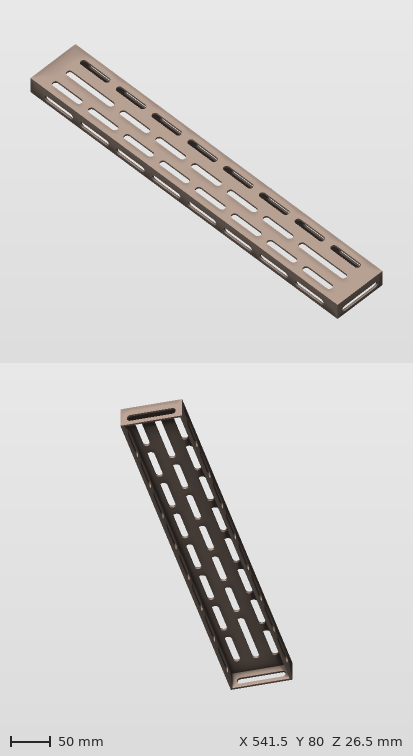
import cadquery as cq

length = 541.5
width = 80.0
height = 26.5
sheet = 3.0

slot_width = 9.0
slots_per_row = 8
end_margin = 25.0
slot_gap = 13.0
row_spacing = 25.0
strip_below_slots = 5.5
end_slot_length = 63.5

row_length = length - 2 * end_margin
slot_length = (row_length - (slots_per_row - 1) * slot_gap) / slots_per_row
slot_pitch = slot_length + slot_gap
side_slot_height = strip_below_slots + slot_width / 2

long_slot_length = slot_length + slot_pitch / 2
short_slots_in_middle = slots_per_row - 3
long_slot_offset = (row_length - long_slot_length) / 2


def row_positions(count):
    """Return the X centres of evenly pitched slots, centred on the part."""
    first = -(count - 1) * slot_pitch / 2
    return [first + index * slot_pitch for index in range(count)]


def slot_cutter(plane, centres, overall_length, depth):
    """Return round-ended slots running along the plane's local X, cut both ways from the plane."""
    return (
        cq.Workplane(plane)
        .pushPoints(centres)
        .slot2D(overall_length, slot_width)
        .extrude(depth / 2, both=True)
    )


def tray():
    """Return the folded sheet: a top plate with four walls and no bottom."""
    outer = cq.Workplane("XY").box(length, width, height, centered=(True, True, False))
    return outer.faces("<Z").shell(-sheet)


def top_slots():
    """Return the cutters for the two outer rows and the staggered middle row."""
    top_plane = cq.Plane(origin=(0, 0, height), xDir=(1, 0, 0), normal=(0, 0, 1))
    outer_rows = [(x, y) for x in row_positions(slots_per_row) for y in (-row_spacing, row_spacing)]
    middle_row = [(x, 0) for x in row_positions(short_slots_in_middle)]
    middle_ends = [(-long_slot_offset, 0), (long_slot_offset, 0)]
    short_slots = slot_cutter(top_plane, outer_rows + middle_row, slot_length, height)
    long_slots = slot_cutter(top_plane, middle_ends, long_slot_length, height)
    return short_slots.union(long_slots)


def side_slots():
    """Return the cutter for the row of slots through both long walls."""
    side_plane = cq.Plane(origin=(0, 0, side_slot_height), xDir=(1, 0, 0), normal=(0, -1, 0))
    centres = [(x, 0) for x in row_positions(slots_per_row)]
    return slot_cutter(side_plane, centres, slot_length, 2 * width)


def end_slots():
    """Return the cutter for the single wide slot through both end walls."""
    end_plane = cq.Plane(origin=(0, 0, side_slot_height), xDir=(0, 1, 0), normal=(1, 0, 0))
    return slot_cutter(end_plane, [(0, 0)], end_slot_length, 2 * length)


result = tray().cut(top_slots()).cut(side_slots()).cut(end_slots())